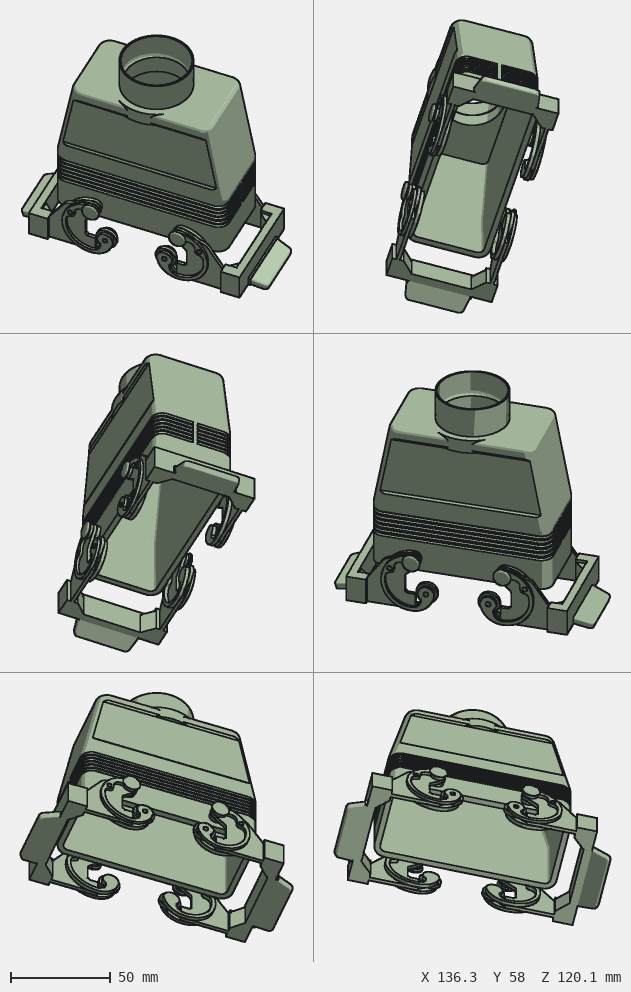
import cadquery as cq
import math


HOOD_HALF_LENGTH = 46.9
HOOD_HALF_WIDTH = 21.58
HOOD_HEIGHT = 81.1
HOOD_KINK_Z = 34.3
HOOD_LEAN_DEG = 10.5
HOOD_CORNER_R = 6.15
HOOD_KINK_R = 6.0
HOOD_TOP_R = 2.65
HOOD_WALL = 3.0

RECESS_DEPTH = 0.8
RECESS_FLOOR_BOTTOM_Z = 43.1
RECESS_FLOOR_TOP_Z = 73.8
RECESS_FLANK_HEIGHT = 1.3

GROOVE_COUNT = 6
GROOVE_PITCH = 2.54
GROOVE_FIRST_Z = 16.85
GROOVE_OPENING = 1.7
GROOVE_DEPTH = GROOVE_OPENING / 2
GROOVE_GAP = 2.6

COLLAR_TOP_Z = 97.0
COLLAR_R = 18.7
COLLAR_BORE_R = 17.9
BORE_R = 16.8
LEDGE_TOP_Z = 85.95
LEDGE_R = 3.2
BOSS_R = 22.5
BOSS_BOTTOM_Z = RECESS_FLOOR_TOP_Z

LAYER_INNER_Y = HOOD_HALF_WIDTH
PLATE_INNER_Y = 23.65
PLATE_OUTER_Y = 25.5
LAYER_OUTER_Y = 27.05

HOOK_X = -23.85
HOOK_Z = -4.95
HOOK_OUTER_R = 16.05
HOOK_INNER_R = 14.0
PIVOT_EYE_R = 3.72
PIVOT_Z = HOOK_Z + HOOK_OUTER_R - PIVOT_EYE_R
HOOK_TOP_INNER_Z = 6.45
PIN_X = -35.4
PIN_Z = 1.88
PIN_R = 1.28
PIN_RECESS = 0.3
PIN_BOSS_R = 2.35
PIN_THROAT_R = 3.4
PIN_ROOT_R = 3.0
TIP_VOID_R = 5.0
ROLLER_X = -16.3
ROLLER_Z = -10.2
ROLLER_R = 5.6
ROLLER_EYE_R = 4.25

BUTTON_NECK_R = 2.65
BUTTON_R = 4.6
BUTTON_INNER_Y = 27.75
BUTTON_OUTER_Y = 29.0
BUTTON_EDGE_R = 1.0

BAR_OUTER_X = -57.9
BAR_THICKNESS = 4.3
BAR_LEG_TIP_X = -47.55
BAR_HALF_WIDTH = 27.6
BAR_LEG_INNER_Y = HOOD_HALF_WIDTH
BAR_TOP_Z = -6.5
BAR_BOTTOM_Z = -20.5
GUSSET_WIDTH = 5.9
GUSSET_DROP = 1.6

PLATE_EYE_R = 4.05
PLATE_SHOULDER_X = -38.76
PLATE_SHOULDER_Z = 5.9
PLATE_SHOULDER_R = 4.5
PLATE_TOP_SLOPE_DEG = 20.0
PLATE_THROAT_SLOPE_DEG = 41.0
PLATE_THROAT_X = -27.9
PLATE_THROAT_R = 2.0
PLATE_TOE_TOP_Z = -11.9
PLATE_TOE_X = -22.35
PLATE_TOE_CHAMFER = 1.3

HANDLE_TIP_X = -68.145
HANDLE_TOP_Z = -16.5
HANDLE_THICKNESS = 3.85
HANDLE_DROP_DEG = 16.5
HANDLE_HALF_WIDTH = 17.0
HANDLE_TAPER_DEG = 11.0
HANDLE_CORNER_R = 2.5
HANDLE_EDGE_R = 0.9
HANDLE_EMBED = 2.0
STUB_LENGTH = 1.2

OVERCUT = 2.0
PICK_MARGIN = 1.0


def cylinder_z(radius, z_low, z_high):
    return cq.Workplane("XY").workplane(offset=z_low).circle(radius).extrude(z_high - z_low)


def plane_at_y(y):
    """XZ plane at the given Y; positive extrusion runs toward -Y."""
    return cq.Workplane("XZ", origin=(0, y, 0))


def disc_y(x, z, radius, y_near, y_far):
    """Disc with its axis along Y on the -Y side, between two distances from Y = 0."""
    return plane_at_y(-y_near).center(x, z).circle(radius).extrude(y_far - y_near)


def circle_meeting(c1, r1, c2, r2, side):
    """Crossing point of two circles, on the left (+1) or right (-1) going from c1 to c2."""
    dx = c2[0] - c1[0]
    dz = c2[1] - c1[1]
    gap = math.hypot(dx, dz)
    along = (gap ** 2 + r1 ** 2 - r2 ** 2) / (2 * gap)
    across = side * math.sqrt(r1 ** 2 - along ** 2)
    return (c1[0] + (along * dx - across * dz) / gap, c1[1] + (along * dz + across * dx) / gap)


def toward(start, target, distance):
    """Point at the given distance from start in the direction of target."""
    gap = math.dist(start, target)
    return tuple(s + (t - s) * distance / gap for s, t in zip(start, target))


def polar(center, radius, angle_deg):
    angle = math.radians(angle_deg)
    return (center[0] + radius * math.cos(angle), center[1] + radius * math.sin(angle))


def hood_block(inset, top_z):
    """Rounded block with leaning upper end walls, all sides moved in by inset."""
    half_length = HOOD_HALF_LENGTH - inset
    half_width = HOOD_HALF_WIDTH - inset
    half_top = half_length - (top_z - HOOD_KINK_Z) * math.tan(math.radians(HOOD_LEAN_DEG))
    outline = [
        (-half_length, 0),
        (half_length, 0),
        (half_length, HOOD_KINK_Z),
        (half_top, top_z),
        (-half_top, top_z),
        (-half_length, HOOD_KINK_Z),
    ]
    block = plane_at_y(half_width).polyline(outline).close().extrude(2 * half_width)
    kinks = cq.selectors.BoxSelector(
        (-half_length - PICK_MARGIN, -half_width, HOOD_KINK_Z - PICK_MARGIN),
        (half_length + PICK_MARGIN, half_width, HOOD_KINK_Z + PICK_MARGIN),
    )
    block = block.edges("|Y").edges(kinks).fillet(HOOD_KINK_R)
    return block.edges("not(|X or |Y)").fillet(HOOD_CORNER_R - inset)


def side_recess():
    """Shallow full-length recess with sloping borders, on the -Y side."""
    floor_y = -(HOOD_HALF_WIDTH - RECESS_DEPTH)
    mouth_y = floor_y - OVERCUT
    flare = OVERCUT * RECESS_FLANK_HEIGHT / RECESS_DEPTH
    outline = [
        (floor_y, RECESS_FLOOR_BOTTOM_Z),
        (floor_y, RECESS_FLOOR_TOP_Z),
        (mouth_y, RECESS_FLOOR_TOP_Z + flare),
        (mouth_y, RECESS_FLOOR_BOTTOM_Z - flare),
    ]
    return cq.Workplane("YZ").polyline(outline).close().extrude(HOOD_HALF_LENGTH + OVERCUT, both=True)


def hood_section(z, inset):
    """Rounded rectangle of the lower hood body, as a sketch on a plane at z."""
    section = (
        cq.Sketch()
        .rect(2 * (HOOD_HALF_LENGTH - inset), 2 * (HOOD_HALF_WIDTH - inset))
        .vertices()
        .fillet(HOOD_CORNER_R - inset)
    )
    return cq.Workplane("XY").workplane(offset=z).placeSketch(section)


def grip_groove(z_low):
    """V-groove round the hood, interrupted in the middle of both end walls."""
    flank_height = GROOVE_OPENING / 2
    flank_angle = math.degrees(math.atan(GROOVE_DEPTH / flank_height))
    core = hood_section(z_low, 0).extrude(flank_height, taper=flank_angle)
    core = core.union(hood_section(z_low + GROOVE_OPENING, 0).extrude(-flank_height, taper=flank_angle))
    band = hood_section(z_low, -OVERCUT).extrude(GROOVE_OPENING)
    gap_bar = cq.Workplane("XY").box(
        2 * (HOOD_HALF_LENGTH + 2 * OVERCUT), GROOVE_GAP, GROOVE_OPENING, centered=(True, True, False)
    )
    return band.cut(core).cut(gap_bar.translate((0, 0, z_low)))


def cable_bore():
    """Through bore, wider inside the collar, with a concave rounded ledge between."""
    arc_center = (COLLAR_BORE_R - LEDGE_R, LEDGE_TOP_Z)
    ledge_deg = -math.degrees(math.acos((BORE_R - arc_center[0]) / LEDGE_R))
    floor_z = BOSS_BOTTOM_Z - OVERCUT
    mouth_z = COLLAR_TOP_Z + OVERCUT
    outline = (
        cq.Workplane("XZ")
        .moveTo(0, floor_z)
        .lineTo(BORE_R, floor_z)
        .lineTo(*polar(arc_center, LEDGE_R, ledge_deg))
        .threePointArc(polar(arc_center, LEDGE_R, ledge_deg / 2), (COLLAR_BORE_R, LEDGE_TOP_Z))
        .lineTo(COLLAR_BORE_R, mouth_z)
        .lineTo(0, mouth_z)
        .close()
    )
    return outline.revolve(360, (0, 0, 0), (0, 1, 0))


def make_hood():
    hood = hood_block(0, HOOD_HEIGHT).faces(">Z").edges().fillet(HOOD_TOP_R)
    recess = side_recess()
    hood = hood.cut(recess).cut(recess.mirror("XZ"))
    for index in range(GROOVE_COUNT):
        hood = hood.cut(grip_groove(GROOVE_FIRST_Z + index * GROOVE_PITCH))
    hood = hood.cut(hood_block(HOOD_WALL, BOSS_BOTTOM_Z))
    hood = hood.union(cylinder_z(BOSS_R, BOSS_BOTTOM_Z, HOOD_HEIGHT))
    hood = hood.union(cylinder_z(COLLAR_R, BOSS_BOTTOM_Z, COLLAR_TOP_Z))
    return hood.cut(cable_bore())


def hook_layer(y_near, y_far):
    """C-shaped hook with an eye at the pivot and one at the roller."""
    center = (HOOK_X, HOOK_Z)
    roller = (ROLLER_X, ROLLER_Z)
    pin = (PIN_X, PIN_Z)
    top = polar(center, HOOK_OUTER_R, 90)
    bottom = polar(center, HOOK_OUTER_R, -90)
    inner_bottom = polar(center, HOOK_INNER_R, -90)

    reach = ROLLER_X - HOOK_X
    rise = ROLLER_Z - bottom[1]
    arm_r = (reach ** 2 + rise ** 2 - ROLLER_EYE_R ** 2) / (2 * (rise - ROLLER_EYE_R))
    arm_center = (HOOK_X, bottom[1] + arm_r)
    arm_end = toward(arm_center, roller, arm_r)
    arm_end_deg = math.degrees(math.atan2(arm_end[1] - arm_center[1], reach))
    arm_middle = polar(arm_center, arm_r, (arm_end_deg - 90) / 2)

    void_center = (HOOK_X, inner_bottom[1] + TIP_VOID_R)
    neck = circle_meeting(void_center, TIP_VOID_R, roller, ROLLER_EYE_R, -1)
    void_middle = polar(void_center, TIP_VOID_R, -45)

    root_center = circle_meeting(
        center, HOOK_INNER_R - PIN_ROOT_R, pin, PIN_BOSS_R + PIN_ROOT_R, 1
    )
    band_end = toward(center, root_center, HOOK_INNER_R)
    boss_start = toward(pin, root_center, PIN_BOSS_R)
    chord_middle = ((band_end[0] + boss_start[0]) / 2, (band_end[1] + boss_start[1]) / 2)
    root_middle = toward(root_center, chord_middle, PIN_ROOT_R)
    boss_end = polar(pin, PIN_BOSS_R, 0)
    boss_middle = polar(pin, PIN_BOSS_R, -35)
    throat_center = (boss_end[0] + PIN_THROAT_R, HOOK_TOP_INNER_Z - PIN_THROAT_R)

    layer = (
        plane_at_y(-y_near)
        .moveTo(*top)
        .threePointArc(polar(center, HOOK_OUTER_R, 180), bottom)
        .threePointArc(arm_middle, arm_end)
        .threePointArc(polar(roller, ROLLER_EYE_R, 90), neck)
        .threePointArc(void_middle, inner_bottom)
        .threePointArc(polar(center, HOOK_INNER_R, -135), band_end)
        .threePointArc(root_middle, boss_start)
        .threePointArc(boss_middle, boss_end)
        .lineTo(*polar(throat_center, PIN_THROAT_R, 180))
        .threePointArc(polar(throat_center, PIN_THROAT_R, 135), polar(throat_center, PIN_THROAT_R, 90))
        .lineTo(HOOK_X, HOOK_TOP_INNER_Z)
        .close()
        .extrude(y_far - y_near)
    )
    return layer.union(disc_y(HOOK_X, PIVOT_Z, PIVOT_EYE_R, y_near, y_far))


def side_plate():
    """Plate between the two hook layers, joining the pivot to the crossbar."""
    pivot = (HOOK_X, PIVOT_Z)
    top_tangent = polar(pivot, PLATE_EYE_R, 90 + PLATE_TOP_SLOPE_DEG)
    throat_tangent = polar(pivot, PLATE_EYE_R, PLATE_THROAT_SLOPE_DEG - 90)
    throat_drop = (throat_tangent[0] - PLATE_THROAT_X) * math.tan(math.radians(PLATE_THROAT_SLOPE_DEG))
    throat_z = throat_tangent[1] - throat_drop
    thickness = PLATE_OUTER_Y - PLATE_INNER_Y
    plate = (
        plane_at_y(-PLATE_INNER_Y)
        .moveTo(BAR_LEG_TIP_X, BAR_BOTTOM_Z)
        .lineTo(BAR_LEG_TIP_X, BAR_TOP_Z)
        .lineTo(PLATE_SHOULDER_X, PLATE_SHOULDER_Z)
        .lineTo(*top_tangent)
        .threePointArc(polar(pivot, PLATE_EYE_R, 0), throat_tangent)
        .lineTo(PLATE_THROAT_X, throat_z)
        .lineTo(PLATE_THROAT_X, PLATE_TOE_TOP_Z)
        .lineTo(PLATE_TOE_X, PLATE_TOE_TOP_Z)
        .lineTo(PLATE_TOE_X, BAR_BOTTOM_Z)
        .close()
        .extrude(thickness)
    )

    def corner(x, z):
        return cq.selectors.NearestToPointSelector((x, -PLATE_INNER_Y - thickness / 2, z))

    plate = plate.edges("|Y").edges(corner(PLATE_SHOULDER_X, PLATE_SHOULDER_Z)).fillet(PLATE_SHOULDER_R)
    plate = plate.edges("|Y").edges(corner(PLATE_THROAT_X, throat_z)).fillet(PLATE_THROAT_R)
    return plate.edges("|Y").edges(corner(PLATE_THROAT_X, PLATE_TOE_TOP_Z)).chamfer(PLATE_TOE_CHAMFER)


def pivot_button():
    neck = disc_y(HOOK_X, PIVOT_Z, BUTTON_NECK_R, PLATE_OUTER_Y, BUTTON_INNER_Y)
    head = disc_y(HOOK_X, PIVOT_Z, BUTTON_R, BUTTON_INNER_Y, BUTTON_OUTER_Y)
    return neck.union(head.faces("<Y").edges().fillet(BUTTON_EDGE_R))


def lever_side():
    """Everything at the -Y end of the left lever apart from the crossbar."""
    side = side_plate()
    side = side.union(hook_layer(LAYER_INNER_Y, PLATE_INNER_Y))
    side = side.union(hook_layer(PLATE_OUTER_Y, LAYER_OUTER_Y))
    side = side.union(disc_y(ROLLER_X, ROLLER_Z, ROLLER_R, PLATE_INNER_Y, PLATE_OUTER_Y))
    for x, z in ((PIN_X, PIN_Z), (ROLLER_X, ROLLER_Z)):
        side = side.cut(disc_y(x, z, PIN_R, LAYER_OUTER_Y - PIN_RECESS, LAYER_OUTER_Y))
    return side.union(pivot_button())


def crossbar():
    """U-shaped bar with two legs and a lowered gusset in each inner corner."""
    inner_x = BAR_OUTER_X + BAR_THICKNESS
    outline = [
        (BAR_OUTER_X, -BAR_HALF_WIDTH),
        (BAR_LEG_TIP_X, -BAR_HALF_WIDTH),
        (BAR_LEG_TIP_X, -BAR_LEG_INNER_Y),
        (inner_x, -BAR_LEG_INNER_Y),
        (inner_x, BAR_LEG_INNER_Y),
        (BAR_LEG_TIP_X, BAR_LEG_INNER_Y),
        (BAR_LEG_TIP_X, BAR_HALF_WIDTH),
        (BAR_OUTER_X, BAR_HALF_WIDTH),
    ]
    base = cq.Workplane("XY").workplane(offset=BAR_BOTTOM_Z)
    height = BAR_TOP_Z - BAR_BOTTOM_Z
    bar = base.polyline(outline).close().extrude(height)
    gusset_outline = [
        (inner_x, -BAR_LEG_INNER_Y),
        (BAR_LEG_TIP_X, -BAR_LEG_INNER_Y),
        (inner_x, -BAR_LEG_INNER_Y + GUSSET_WIDTH),
    ]
    gusset = base.polyline(gusset_outline).close().extrude(height - GUSSET_DROP)
    return bar.union(gusset).union(gusset.mirror("XZ"))


def handle():
    """Tapered finger tab with rounded edges, sloping down and away from the bar."""
    drop = math.radians(HANDLE_DROP_DEG)
    edge_shift = HANDLE_EDGE_R * (math.cos(drop) + math.sin(drop) - 1)
    length = (BAR_OUTER_X - HANDLE_TIP_X + edge_shift) / math.cos(drop)
    taper = math.tan(math.radians(HANDLE_TAPER_DEG))
    root_half = HANDLE_HALF_WIDTH + HANDLE_EMBED * taper
    tip_half = HANDLE_HALF_WIDTH - length * taper
    outline = [
        (HANDLE_EMBED, -root_half),
        (HANDLE_EMBED, root_half),
        (-length, tip_half),
        (-length, -tip_half),
    ]
    tab = cq.Workplane("XY").polyline(outline).close().extrude(-HANDLE_THICKNESS)
    tab = tab.edges("|Z and <X").fillet(HANDLE_CORNER_R)
    tip_and_sides = cq.selectors.BoxSelector(
        (-length - PICK_MARGIN, -root_half, -HANDLE_THICKNESS - PICK_MARGIN),
        (HANDLE_EMBED - PICK_MARGIN, root_half, PICK_MARGIN),
    )
    tab = tab.edges("#Z").edges(tip_and_sides).fillet(HANDLE_EDGE_R)
    tab = tab.rotate((0, 0, 0), (0, 1, 0), -HANDLE_DROP_DEG)
    return tab.translate((BAR_OUTER_X, 0, HANDLE_TOP_Z))


def make_lever():
    side = lever_side()
    return crossbar().union(handle()).union(side).union(side.mirror("XZ"))


def handle_stub():
    """Short straight root between the right crossbar and its handle."""
    height = HANDLE_TOP_Z - BAR_BOTTOM_Z
    stub = cq.Workplane("XY").box(
        STUB_LENGTH, 2 * HANDLE_HALF_WIDTH, height, centered=(False, True, False)
    )
    return stub.translate((-BAR_OUTER_X, 0, BAR_BOTTOM_Z))


left_lever = make_lever()
right_lever = left_lever.mirror("YZ").union(handle_stub())
result = make_hood().union(left_lever).union(right_lever)